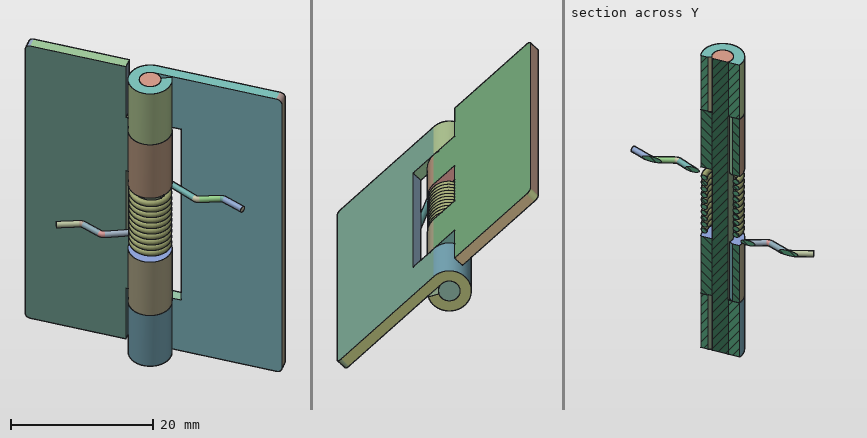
import cadquery as cq
import math


HINGE_HEIGHT = 51.0
HINGE_WIDTH = 38.0

PIN_RADIUS = 1.55
SHEET_THICKNESS = 1.6
KNUCKLE_RADIUS = PIN_RADIUS + SHEET_THICKNESS
CURL_END_ANGLE = 27.0

PLATE_EDGE_X = 4.1
CORNER_RADIUS = 0.8
INNER_KNUCKLE_LENGTH = 10.0
SPRING_WINDOW_HEIGHT = 12.0
INNER_KNUCKLE_START = SPRING_WINDOW_HEIGHT / 2
INNER_KNUCKLE_END = INNER_KNUCKLE_START + INNER_KNUCKLE_LENGTH
OUTER_KNUCKLE_LENGTH = HINGE_HEIGHT / 2 - INNER_KNUCKLE_END

WIRE_RADIUS = 0.45
COIL_RADIUS = 2.6
COIL_TURNS = 10
LEG_HEIGHT = 5.2
LEG_ANGLE = 24.5
VALLEY_X = 7.0
PEAK_X = 10.4
TIP_X = 13.75
PEAK_Y = 1.0
TIP_Y = -0.3
BEND_RADIUS = 0.9
JOINT_TOLERANCE = 0.001


def polar(radius, angle):
    """Point in the XY plane at an angle in degrees from the X axis."""
    return radius * math.cos(math.radians(angle)), radius * math.sin(math.radians(angle))


def make_knuckle(bottom, height):
    """Rolled tube that runs tangentially into a strip reaching the straight plate edge."""
    middle_angle = 225.0
    return (
        cq.Workplane("XY", origin=(0, 0, bottom))
        .moveTo(PLATE_EDGE_X, KNUCKLE_RADIUS)
        .lineTo(0, KNUCKLE_RADIUS)
        .threePointArc(polar(KNUCKLE_RADIUS, middle_angle), polar(KNUCKLE_RADIUS, CURL_END_ANGLE))
        .lineTo(*polar(PIN_RADIUS, CURL_END_ANGLE))
        .threePointArc(polar(PIN_RADIUS, middle_angle), (0, PIN_RADIUS))
        .lineTo(PLATE_EDGE_X, PIN_RADIUS)
        .close()
        .extrude(height)
    )


def make_leaf(knuckle_bottom, knuckle_length):
    """Right-hand leaf with one knuckle starting at the given height and its mirror image below."""
    plate_width = HINGE_WIDTH / 2 - PLATE_EDGE_X
    plate = (
        cq.Workplane("XY")
        .box(plate_width, SHEET_THICKNESS, HINGE_HEIGHT, centered=(False, False, True))
        .translate((PLATE_EDGE_X, PIN_RADIUS, 0))
        .edges("|Y and >X")
        .fillet(CORNER_RADIUS)
    )
    upper_knuckle = make_knuckle(knuckle_bottom, knuckle_length)
    lower_knuckle = make_knuckle(-knuckle_bottom - knuckle_length, knuckle_length)
    return plate.union(upper_knuckle).union(lower_knuckle)


def make_pin():
    return cq.Workplane("XY").cylinder(HINGE_HEIGHT, PIN_RADIUS)


def make_coil():
    """Left-handed coil whose ends lie where the legs leave it tangentially."""
    turns = COIL_TURNS + 2 * LEG_ANGLE / 360
    height = 2 * LEG_HEIGHT
    pitch = height / turns
    start_angle = 90 + LEG_ANGLE
    helix = cq.Wire.makeHelix(pitch, height, COIL_RADIUS, lefthand=True)
    rise = pitch / (2 * math.pi * COIL_RADIUS)
    section = cq.Plane(origin=(COIL_RADIUS, 0, 0), xDir=(1, 0, 0), normal=(0, -1, rise))
    return (
        cq.Workplane(section)
        .circle(WIRE_RADIUS)
        .sweep(cq.Workplane(obj=helix), isFrenet=True)
        .rotate((0, 0, 0), (0, 0, 1), start_angle)
        .translate((0, 0, -LEG_HEIGHT))
    )


def make_leg():
    """Upper leg: a zigzag wire leaving the coil tangentially towards +X."""
    slope = math.radians(LEG_ANGLE)
    start = cq.Vector(*polar(COIL_RADIUS, 90 - LEG_ANGLE), LEG_HEIGHT)
    valley_y = start.y - (VALLEY_X - start.x) * math.tan(slope)
    corners = [
        start,
        cq.Vector(VALLEY_X, valley_y, LEG_HEIGHT),
        cq.Vector(PEAK_X, PEAK_Y, LEG_HEIGHT),
        cq.Vector(TIP_X, TIP_Y, LEG_HEIGHT),
    ]
    path = cq.Workplane("XY", origin=(0, 0, LEG_HEIGHT)).moveTo(start.x, start.y)
    for before, corner, after in zip(corners, corners[1:], corners[2:]):
        heading_in = (corner - before).normalized()
        heading_out = (after - corner).normalized()
        tangent_length = BEND_RADIUS * math.tan(heading_in.getAngle(heading_out) / 2)
        bend_start = corner - heading_in * tangent_length
        bend_end = corner + heading_out * tangent_length
        path = path.lineTo(bend_start.x, bend_start.y)
        path = path.tangentArcPoint((bend_end.x, bend_end.y), relative=False)
    path = path.lineTo(TIP_X, TIP_Y)
    section = cq.Plane(origin=start, xDir=(0, 0, 1), normal=(math.cos(slope), -math.sin(slope), 0))
    return cq.Workplane(section).circle(WIRE_RADIUS).sweep(path)


def make_spring():
    upper_leg = make_leg()
    lower_leg = upper_leg.rotate((0, 0, 0), (0, 1, 0), 180)
    return make_coil().union(upper_leg, tol=JOINT_TOLERANCE).union(lower_leg, tol=JOINT_TOLERANCE)


right_leaf = make_leaf(INNER_KNUCKLE_END, OUTER_KNUCKLE_LENGTH)
left_leaf = make_leaf(INNER_KNUCKLE_START, INNER_KNUCKLE_LENGTH).mirror("YZ")
pin = make_pin()
spring = make_spring()

bodies = [right_leaf, left_leaf, pin, spring]
result = cq.Compound.makeCompound([body.solids().val() for body in bodies])